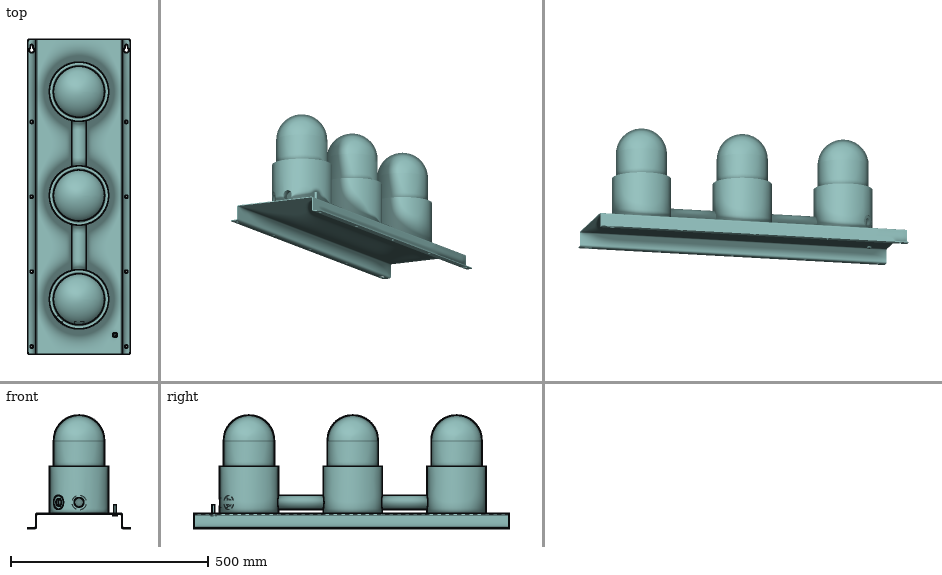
import cadquery as cq
import math

length = 800.0
width = 260.0
tray_width = 220.0
tray_height = 38.0
sheet = 2.0
bend_inner = 2.0
bend_outer = bend_inner + sheet
corner_radius = 5.0

overall_height = 288.0
lamp_count = 3
lamp_pitch = 263.0
lamp_middle_y = 3.0
base_radius = 75.0
base_height = 120.0
glass_foot_z = tray_height + base_height
glass_radius = (overall_height - glass_foot_z) / 2
lamp_ys = [lamp_middle_y + (i - (lamp_count - 1) / 2) * lamp_pitch for i in range(lamp_count)]

conduit_diameter = 37.0
opening_z = tray_height + 28.0
front_hole_angle = 270
front_hole_radius = 12.0
front_hole_depth = 20.0
gland_angle = 225
gland_radius = 18.0
gland_bore_radius = 10.0
gland_bore_depth = 8.0
gland_seat = math.sqrt(base_radius**2 - gland_radius**2)

stud_x = 91.0
stud_y = -350.0
stud_radius = 3.6
stud_height = 22.0
stud_head_radius = 6.0
stud_head_height = 4.0

mount_x = (width + tray_width) / 4
mount_end_inset = 20.0
mount_first_y = mount_end_inset - length / 2
mount_pitch = -mount_first_y / 2
mount_count = 4
mount_radius = 3.6
keyhole_y = 372.0
keyhole_radius = 6.0
keyhole_slot_radius = 3.0
keyhole_slot_rise = 10.0


def make_tray():
    half = tray_width / 2
    half_tray = (
        cq.Workplane("XZ", origin=(0, length / 2, 0))
        .moveTo(0, tray_height)
        .lineTo(half - bend_outer, tray_height)
        .radiusArc((half, tray_height - bend_outer), bend_outer)
        .lineTo(half, bend_outer)
        .radiusArc((half + bend_inner, sheet), -bend_inner)
        .lineTo(width / 2, sheet)
        .lineTo(width / 2, 0)
        .lineTo(half + bend_inner, 0)
        .radiusArc((half - sheet, bend_outer), bend_outer)
        .lineTo(half - sheet, tray_height - bend_outer)
        .radiusArc((half - bend_outer, tray_height - sheet), -bend_inner)
        .lineTo(0, tray_height - sheet)
        .close()
        .extrude(length)
    )
    tray = half_tray.union(half_tray.mirror("YZ"))
    return tray.edges("|Z and (>X or <X)").fillet(corner_radius)


def make_mounting_holes(x):
    """Cutters for the row of round holes and the keyhole of one flange."""
    centres = [(x, mount_first_y + i * mount_pitch) for i in range(mount_count)]
    round_holes = cq.Workplane("XY").pushPoints(centres).circle(mount_radius).extrude(sheet)
    keyhole = cq.Workplane("XY").center(x, keyhole_y).circle(keyhole_radius).extrude(sheet)
    slot = (
        cq.Workplane("XY")
        .center(x, keyhole_y + keyhole_slot_rise / 2)
        .slot2D(keyhole_slot_rise + 2 * keyhole_slot_radius, 2 * keyhole_slot_radius, 90)
        .extrude(sheet)
    )
    return round_holes.union(keyhole).union(slot)


def make_lamp(y):
    base = cq.Workplane("XY", origin=(0, y, tray_height)).circle(base_radius).extrude(base_height)
    glass = cq.Workplane("XY", origin=(0, y, glass_foot_z)).circle(glass_radius).extrude(glass_radius)
    dome = cq.Workplane("XY", origin=(0, y, glass_foot_z + glass_radius)).sphere(glass_radius)
    return base.union(glass).union(dome)


def make_conduit():
    return (
        cq.Workplane("XZ", origin=(0, lamp_ys[-1], opening_z))
        .circle(conduit_diameter / 2)
        .extrude(lamp_ys[-1] - lamp_ys[0])
    )


def radial_rod(angle, start, end, radius):
    """Level rod pointing away from the front lamp's axis, from distance start to distance end."""
    outward = cq.Vector(math.cos(math.radians(angle)), math.sin(math.radians(angle)), 0)
    origin = cq.Vector(0, lamp_ys[0], opening_z) + outward * start
    plane = cq.Plane(origin, xDir=(0, 0, 1), normal=outward)
    return cq.Workplane(plane).circle(radius).extrude(end - start)


def make_front_lamp_openings():
    """Cutters for the plain front hole and the gland's flat seat with its bore."""
    front_hole = radial_rod(front_hole_angle, base_radius - front_hole_depth, base_radius, front_hole_radius)
    seat = radial_rod(gland_angle, gland_seat, base_radius, gland_radius)
    bore = radial_rod(gland_angle, gland_seat - gland_bore_depth, base_radius, gland_bore_radius)
    return front_hole.union(seat).union(bore)


def make_stud():
    head_z = tray_height - sheet - stud_head_height
    foot = cq.Workplane("XY", origin=(stud_x, stud_y, head_z))
    head = foot.circle(stud_head_radius).extrude(stud_head_height)
    shank = foot.circle(stud_radius).extrude(stud_head_height + sheet + stud_height)
    return head.union(shank)


result = make_tray()
for flange_x in (-mount_x, mount_x):
    result = result.cut(make_mounting_holes(flange_x))
result = result.union(make_conduit())
for lamp_y in lamp_ys:
    result = result.union(make_lamp(lamp_y))
result = result.cut(make_front_lamp_openings()).union(make_stud())